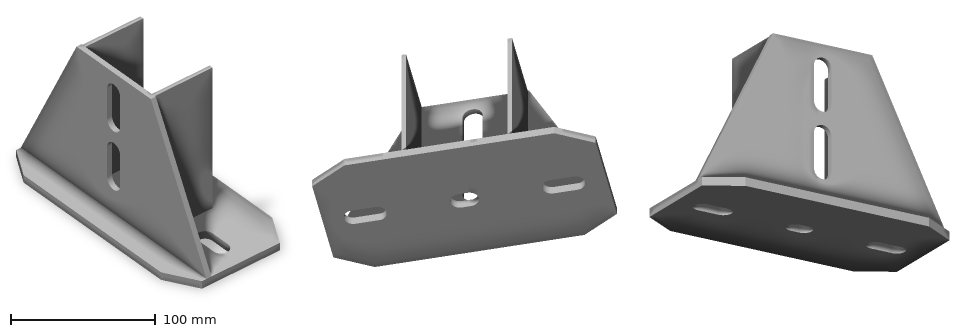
import cadquery as cq
import math

base_length = 200.0
base_width = 100.0
base_thickness = 6.5
corner_cut_x = 26.0
corner_cut_y = 15.0

anchor_slot_width = 13.0
end_slot_length = 30.0
end_slot_offset = 70.0
middle_slot_length = 20.0

upright_height = 120.0
face_top_length = 80.0
face_thickness = 4.5
face_front_y = -30.8
face_back_y = face_front_y + face_thickness

face_slot_width = 14.0
face_slot_length = 40.0
face_slot_gap = 10.0

rib_thickness = 3.2
rib_depth = 52.0
rib_outer_spacing = 78.0
relief_leg = 10.0
relief_bulge = 0.5


def make_base():
    """Flat plate with four cut corners and a row of three anchor slots."""
    half_length = base_length / 2
    half_width = base_width / 2
    shoulder_x = half_length - corner_cut_x
    shoulder_y = half_width - corner_cut_y
    outline = [
        (-half_length, -shoulder_y),
        (-shoulder_x, -half_width),
        (shoulder_x, -half_width),
        (half_length, -shoulder_y),
        (half_length, shoulder_y),
        (shoulder_x, half_width),
        (-shoulder_x, half_width),
        (-half_length, shoulder_y),
    ]
    plate = cq.Workplane("XY").polyline(outline).close().extrude(base_thickness)
    end_slots = (
        cq.Workplane("XY")
        .pushPoints([(-end_slot_offset, 0), (end_slot_offset, 0)])
        .slot2D(end_slot_length, anchor_slot_width)
        .extrude(base_thickness)
    )
    middle_slot = cq.Workplane("XY").slot2D(middle_slot_length, anchor_slot_width).extrude(base_thickness)
    return plate.cut(end_slots).cut(middle_slot)


def make_face_plate():
    """Trapezoidal upright, as long as the base at its foot, with two vertical slots."""
    top_z = base_thickness + upright_height
    outline = [
        (-base_length / 2, base_thickness),
        (base_length / 2, base_thickness),
        (face_top_length / 2, top_z),
        (-face_top_length / 2, top_z),
    ]
    front = cq.Workplane("XZ", origin=(0, face_front_y, 0))
    plate = front.polyline(outline).close().extrude(-face_thickness)
    upper_slot_z = top_z - face_slot_gap - face_slot_length / 2
    lower_slot_z = upper_slot_z - face_slot_length - face_slot_gap
    slots = (
        front.pushPoints([(0, upper_slot_z), (0, lower_slot_z)])
        .slot2D(face_slot_length, face_slot_width, 90)
        .extrude(-face_thickness)
    )
    return plate.cut(slots)


def make_rib(center_x):
    """Rectangular rib with a corner cut along a shallow arc where the face plate meets the base."""
    left_x = center_x - rib_thickness / 2
    sheet = cq.Workplane("XY").box(rib_thickness, rib_depth, upright_height, centered=False)
    arc_mid = relief_leg / 2 + relief_bulge / math.sqrt(2)
    relief = (
        cq.Workplane("YZ")
        .lineTo(relief_leg, 0)
        .threePointArc((arc_mid, arc_mid), (0, relief_leg))
        .close()
        .extrude(rib_thickness)
    )
    return sheet.cut(relief).translate((left_x, face_back_y, base_thickness))


base = make_base()
face_plate = make_face_plate()
rib_center_x = (rib_outer_spacing - rib_thickness) / 2
ribs = [make_rib(side * rib_center_x) for side in (-1, 1)]

result = cq.Compound.makeCompound([base.val(), face_plate.val(), *[rib.val() for rib in ribs]])